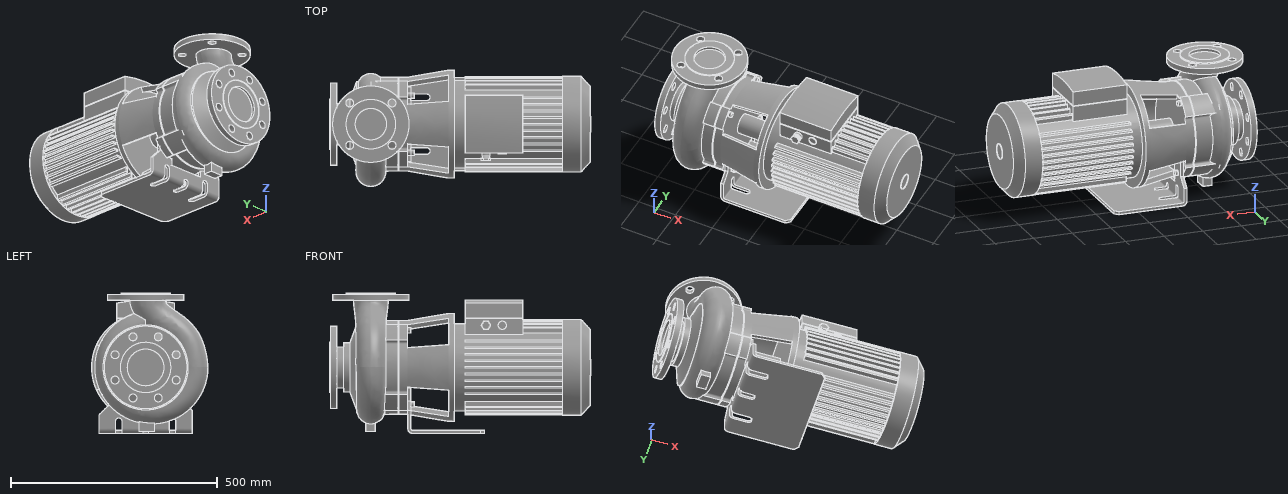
import cadquery as cq
import math


suction_face_x = -100.0
discharge_face_z = 180.0
suction_raised_height = 2.0
discharge_raised_height = 3.0

suction_flange_dia = 200.0
suction_flange_back_x = -82.0
suction_raised_dia = 122.0
suction_bore_dia = 88.9
suction_bolt_circle = 160.0
suction_hole_count = 8

discharge_flange_dia = 185.0
discharge_flange_thickness = 15.0
discharge_raised_dia = 119.9
discharge_bore_dia = 76.1
discharge_bolt_circle = 145.0
discharge_hole_count = 4

flange_hole_dia = 19.0
port_recess_depth = 8.0

suction_neck_dia = 99.9
suction_collar_dia = 119.9
suction_collar_x = -66.0
cone_start_x = -51.0
cone_end_x = -35.0
cone_end_radius = 103.0

volute_outer_radius = 137.0
volute_offset = 14.0
volute_full_tube_radius = 36.5
volute_start_tube_radius = 31.0
volute_wrap = 270
volute_step = 30
outlet_sections = [
    (-109.5, 34.0, 36.5, 14.0),
    (-95.0, 68.0, 36.5, 33.0),
    (-67.0, 96.0, 37.0, 49.0),
    (-34.0, 118.0, 38.0, 49.0),
    (-11.0, 144.0, 41.0, 24.0),
    (-4.0, 168.0, 42.5, 8.0),
]

foot_x_min = -13.0
foot_x_max = 11.0
foot_y_min = -21.0
foot_y_max = 16.0
foot_bottom_z = -155.5
foot_overlap = 10.0

joint_x = 65.5
joint_groove_width = 2.0
joint_groove_depth = 1.0
body_radius = 114.0
lug_radius = 123.0
lug_half_width = 26.9
lug_root_fillet = 5.0
lug_angles = [45, 135, 225, 315]

lantern_plate_end_x = 89.0
motor_flange_x = 188.0
motor_flange_end_x = 202.0
motor_flange_dia = 262.0
arm_thickness = 13.0
arm_half_angle = 25.0

bolt_y = 69.0
bolt_z = 89.5
bolt_head_dia = 13.0
bolt_head_height = 8.0
bolt_shank_dia = 9.0
bolt_grip_in_lantern = 18.0

plate_thickness = 8.0
bracket_half_width = 113.0
bracket_bottom_z = -160.0
bracket_end_x = 275.0
bend_outer_radius = 12.0
base_corner_chamfer = 10.0
shoulder_z_plus_y = -115.0
shoulder_z_minus_y = -104.0
tab_outer_y = 90.0
tab_inner_y = 49.0
tab_top_z = -49.0
arm_notch_z = -118.0
slot_width = 15.0
slot_y = 65.0
slot_top_z = -122.5
slot_end_x = 143.0
middle_slot_width = 13.0
middle_slot_top_z = -140.0
middle_slot_end_x = 130.0

shaft_dia = 50.0
frame_dia = 212.0
motor_dia = 232.0
fins_start_x = 228.0
fins_end_x = 464.0
end_cover_chamfer_x = 509.0
motor_back_x = 531.0
motor_back_radius = 92.0
end_boss_dia = 38.0
overall_end_x = 532.5
fin_pitch = 16.0
fin_thickness = 4.0
fin_root_radius = 80.0
fin_tip_radius = 115.5
fin_overrun = 2.0
fins_per_side = 9

box_end_x = 368.0
box_half_width = 70.0
box_side_top_z = 156.0
box_crown_z = 163.4
lid_seam_z = 118.7
lid_seam_height = 1.0
lid_seam_depth = 1.0
entry_z = 102.0
gland_x = 278.5
plug_x = 318.0
entry_dia = 20.0
plug_height = 2.0
gland_neck_dia = 16.0
gland_neck_length = 12.0
gland_collar_length = 7.0
gland_nut_width = 20.0
gland_nut_length = 6.0


def x_cylinder(x_start, x_end, diameter):
    """Solid cylinder on the shaft axis."""
    return cq.Workplane("YZ", origin=(x_start, 0, 0)).circle(diameter / 2).extrude(x_end - x_start)


def lug_roots(x_start, x_end):
    """Selector for the edges along X where the lugs rise from the round body."""
    spread = math.pi / 4 - math.asin(lug_half_width / body_radius)
    reach = body_radius * math.cos(spread) + 1
    return cq.selectors.BoxSelector((x_start - 1, -reach, -reach), (x_end + 1, reach, reach))


def joint_profile(x_start, x_end):
    """Round body with four bolt lugs on the diagonals."""
    length = x_end - x_start
    body = x_cylinder(x_start, x_end, 2 * body_radius)
    for angle in lug_angles:
        lug = (
            cq.Workplane("YZ", origin=(x_start, 0, 0))
            .transformed(rotate=(0, 0, angle))
            .rect(2 * lug_radius + 10, 2 * lug_half_width)
            .extrude(length)
            .intersect(x_cylinder(x_start, x_end, 2 * lug_radius))
        )
        body = body.union(lug)
    return body.edges("|X").edges(lug_roots(x_start, x_end)).fillet(lug_root_fillet)


def volute_section(angle):
    """Circle across the volute passage, at an angle turned from -Y towards -Z."""
    a = math.radians(angle)
    across = volute_offset * math.sin(a)
    outer_radius = volute_offset * math.cos(a) + math.sqrt(volute_outer_radius**2 - across**2)
    shrink = (volute_full_tube_radius - volute_start_tube_radius) * angle / volute_wrap
    tube_radius = volute_full_tube_radius - shrink
    centre_radius = outer_radius - tube_radius
    centre = cq.Vector(0, -centre_radius * math.cos(a), -centre_radius * math.sin(a))
    flow = cq.Vector(0, -math.sin(a), math.cos(a))
    return cq.Wire.makeCircle(tube_radius, centre, flow)


def outlet_section(y, z, radius, tilt):
    """Circle across the outlet pipe."""
    a = math.radians(tilt)
    return cq.Wire.makeCircle(radius, cq.Vector(0, y, z), cq.Vector(0, math.sin(a), math.cos(a)))


def make_volute():
    spiral = [volute_section(angle) for angle in range(volute_wrap, -1, -volute_step)]
    scroll = cq.Solid.makeLoft(spiral, False)
    outlet = cq.Solid.makeLoft([spiral[-1]] + [outlet_section(*s) for s in outlet_sections], False)
    return cq.Workplane(scroll).union(cq.Workplane(outlet))


def make_casing():
    core = (
        cq.Workplane("XZ")
        .moveTo(suction_flange_back_x - 1, 0)
        .lineTo(suction_flange_back_x - 1, suction_neck_dia / 2)
        .lineTo(suction_collar_x, suction_neck_dia / 2)
        .lineTo(suction_collar_x, suction_collar_dia / 2)
        .lineTo(cone_start_x, suction_collar_dia / 2)
        .lineTo(cone_end_x, cone_end_radius)
        .lineTo(-cone_end_x, cone_end_radius)
        .lineTo(-cone_end_x, 0)
        .close()
        .revolve(360, (0, 0, 0), (1, 0, 0))
    )
    foot = (
        cq.Workplane("XY", origin=(0, 0, foot_bottom_z))
        .moveTo((foot_x_min + foot_x_max) / 2, (foot_y_min + foot_y_max) / 2)
        .rect(foot_x_max - foot_x_min, foot_y_max - foot_y_min)
        .extrude(-foot_bottom_z - body_radius + foot_overlap)
    )
    casing = make_volute().union(core).union(joint_profile(0.0, joint_x)).union(foot)

    plate_x = suction_face_x + suction_raised_height
    suction = x_cylinder(plate_x, suction_flange_back_x, suction_flange_dia)
    suction = suction.union(x_cylinder(suction_face_x, plate_x, suction_raised_dia))
    casing = casing.union(suction)
    holes = (
        cq.Workplane("YZ", origin=(suction_face_x, 0, 0))
        .polarArray(suction_bolt_circle / 2, 180 / suction_hole_count, 360, suction_hole_count)
        .circle(flange_hole_dia / 2)
        .extrude(suction_flange_back_x - suction_face_x)
    )
    casing = casing.cut(holes)
    casing = casing.cut(x_cylinder(suction_face_x, suction_face_x + port_recess_depth, suction_bore_dia))

    top = discharge_face_z - discharge_raised_height
    discharge = (
        cq.Workplane("XY", origin=(0, 0, top))
        .circle(discharge_flange_dia / 2)
        .extrude(-discharge_flange_thickness)
        .faces(">Z")
        .workplane()
        .circle(discharge_raised_dia / 2)
        .extrude(discharge_raised_height)
    )
    casing = casing.union(discharge)
    holes = (
        cq.Workplane("XY", origin=(0, 0, top))
        .polarArray(discharge_bolt_circle / 2, 180 / discharge_hole_count, 360, discharge_hole_count)
        .circle(flange_hole_dia / 2)
        .extrude(-discharge_flange_thickness)
    )
    recess = (
        cq.Workplane("XY", origin=(0, 0, discharge_face_z))
        .circle(discharge_bore_dia / 2)
        .extrude(-port_recess_depth)
    )
    return casing.cut(holes).cut(recess)


def arm_windows():
    """Wedges that open the cone between its four arms."""
    reach = 2 * motor_flange_dia
    half = math.radians(45 - arm_half_angle)
    windows = cq.Workplane("YZ", origin=(lantern_plate_end_x, 0, 0))
    for middle in lug_angles:
        m = math.radians(middle)
        windows = windows.polyline(
            [
                (0, 0),
                (reach * math.cos(m - half), reach * math.sin(m - half)),
                (reach * math.cos(m + half), reach * math.sin(m + half)),
            ]
        ).close()
    return windows.extrude(motor_flange_x - lantern_plate_end_x)


def bolt_points(z):
    return [(y, z) for y in (-bolt_y, bolt_y)]


def make_lantern():
    plate_start = joint_x + joint_groove_width
    arms = (
        cq.Workplane("XZ")
        .polyline(
            [
                (lantern_plate_end_x, body_radius - arm_thickness),
                (lantern_plate_end_x, body_radius),
                (motor_flange_x, motor_flange_dia / 2),
                (motor_flange_x, motor_flange_dia / 2 - arm_thickness),
            ]
        )
        .close()
        .revolve(360, (0, 0, 0), (1, 0, 0))
        .cut(arm_windows())
    )
    lantern = (
        joint_profile(plate_start, lantern_plate_end_x)
        .union(x_cylinder(joint_x, plate_start, 2 * (body_radius - joint_groove_depth)))
        .union(arms)
        .union(x_cylinder(motor_flange_x, motor_flange_end_x, motor_flange_dia))
        .cut(x_cylinder(lantern_plate_end_x, motor_flange_end_x, shaft_dia))
    )
    shanks = (
        cq.Workplane("YZ", origin=(lantern_plate_end_x, 0, 0))
        .pushPoints(bolt_points(bolt_z) + bolt_points(-bolt_z))
        .circle(bolt_shank_dia / 2)
        .extrude(-bolt_grip_in_lantern)
    )
    return lantern.cut(shanks)


def make_bolt(y, z, seat_x):
    """Cap screw whose head sits on the plane X = seat_x."""
    tip_x = lantern_plate_end_x - bolt_grip_in_lantern
    shank = cq.Workplane("YZ", origin=(tip_x, y, z)).circle(bolt_shank_dia / 2).extrude(seat_x - tip_x)
    head = cq.Workplane("YZ", origin=(seat_x, y, z)).circle(bolt_head_dia / 2).extrude(bolt_head_height)
    return shank.union(head)


def bend_slot(y, width, top_z, end_x):
    """Slot that runs down the upright plate, round the bend and along the base."""
    x0 = lantern_plate_end_x
    radius = width / 2
    bar_length = end_x - radius - x0
    base = cq.Workplane("XY", origin=(x0, y, bracket_bottom_z)).rect(2 * bar_length, width).extrude(bend_outer_radius)
    base_end = (
        cq.Workplane("XY", origin=(end_x - radius, y, bracket_bottom_z)).circle(radius).extrude(bend_outer_radius)
    )
    height = top_z - radius - bracket_bottom_z
    upright = cq.Workplane("YZ", origin=(x0, y, bracket_bottom_z)).rect(width, 2 * height).extrude(bend_outer_radius)
    upright_end = cq.Workplane("YZ", origin=(x0, y, top_z - radius)).circle(radius).extrude(bend_outer_radius)
    return base.union(base_end).union(upright).union(upright_end)


def make_bracket():
    x0 = lantern_plate_end_x
    bend_inner_radius = bend_outer_radius - plate_thickness
    angle_bar = (
        cq.Workplane("XZ", origin=(0, bracket_half_width, 0))
        .polyline(
            [
                (x0, tab_top_z),
                (x0, bracket_bottom_z),
                (bracket_end_x, bracket_bottom_z),
                (bracket_end_x, bracket_bottom_z + plate_thickness),
                (x0 + plate_thickness, bracket_bottom_z + plate_thickness),
                (x0 + plate_thickness, tab_top_z),
            ]
        )
        .close()
        .extrude(2 * bracket_half_width)
    )
    angle_bar = angle_bar.edges("|Y and <X and <Z").fillet(bend_outer_radius)
    inner_corner = cq.selectors.NearestToPointSelector(
        (x0 + plate_thickness, 0, bracket_bottom_z + plate_thickness)
    )
    angle_bar = angle_bar.edges("|Y").edges(inner_corner).fillet(bend_inner_radius)
    angle_bar = angle_bar.edges("|Z and >X").chamfer(base_corner_chamfer)

    w = bracket_half_width
    rise = w - tab_outer_y
    outline = (
        cq.Workplane("YZ", origin=(x0, 0, 0))
        .polyline(
            [
                (-w, bracket_bottom_z),
                (-w, shoulder_z_minus_y),
                (-tab_outer_y, shoulder_z_minus_y + rise),
                (-tab_outer_y, tab_top_z),
                (-tab_inner_y, tab_top_z),
                (-tab_inner_y, arm_notch_z),
                (tab_inner_y, arm_notch_z),
                (tab_inner_y, tab_top_z),
                (tab_outer_y, tab_top_z),
                (tab_outer_y, shoulder_z_plus_y + rise),
                (w, shoulder_z_plus_y),
                (w, bracket_bottom_z),
            ]
        )
        .close()
        .extrude(bracket_end_x - x0)
    )
    bracket = angle_bar.intersect(outline)

    for y, width, top_z, end_x in [
        (-slot_y, slot_width, slot_top_z, slot_end_x),
        (slot_y, slot_width, slot_top_z, slot_end_x),
        (0.0, middle_slot_width, middle_slot_top_z, middle_slot_end_x),
    ]:
        bracket = bracket.cut(bend_slot(y, width, top_z, end_x))
    shanks = (
        cq.Workplane("YZ", origin=(x0, 0, 0))
        .pushPoints(bolt_points(-bolt_z))
        .circle(bolt_shank_dia / 2)
        .extrude(plate_thickness)
    )
    return bracket.cut(shanks)


def fin_blank(x_start, length, offset, turn):
    """Flat bar parallel to a radius, for a fin pointing up and then turned about the shaft."""
    height = motor_dia / 2 - fin_root_radius
    bar = cq.Workplane("XY").box(length, fin_thickness, height, centered=(False, True, False))
    return bar.translate((x_start, offset, fin_root_radius)).rotate((0, 0, 0), (1, 0, 0), turn).val()


def make_motor():
    motor = (
        cq.Workplane("XZ")
        .polyline(
            [
                (lantern_plate_end_x, 0),
                (lantern_plate_end_x, shaft_dia / 2),
                (motor_flange_end_x, shaft_dia / 2),
                (motor_flange_end_x, frame_dia / 2),
                (fins_end_x, frame_dia / 2),
                (fins_end_x, motor_dia / 2),
                (end_cover_chamfer_x, motor_dia / 2),
                (motor_back_x, motor_back_radius),
                (motor_back_x, end_boss_dia / 2),
                (overall_end_x, end_boss_dia / 2),
                (overall_end_x, 0),
            ]
        )
        .close()
        .revolve(360, (0, 0, 0), (1, 0, 0))
    )
    fin_end = fins_end_x + fin_overrun
    length = fin_end - fins_start_x
    upper_length = fin_end - box_end_x
    envelope = x_cylinder(fins_start_x, fin_end, 2 * fin_tip_radius)
    fins = cq.Workplane("YZ")
    for index in range(fins_per_side):
        offset = (index - (fins_per_side - 1) / 2) * fin_pitch
        fins = fins.add(fin_blank(fins_start_x, length, offset, 90))
        fins = fins.add(fin_blank(fins_start_x, length, offset, 180))
        fins = fins.add(fin_blank(fins_start_x, length, offset, 270))
        fins = fins.add(fin_blank(box_end_x, upper_length, offset, 0))
    for fin in fins.vals():
        motor = motor.union(envelope.intersect(cq.Workplane(fin)))
    return motor


def make_terminal_box():
    length = box_end_x - fins_start_x
    box = (
        cq.Workplane("YZ", origin=(fins_start_x, 0, 0))
        .moveTo(-box_half_width, 0)
        .lineTo(-box_half_width, box_side_top_z)
        .threePointArc((0, box_crown_z), (box_half_width, box_side_top_z))
        .lineTo(box_half_width, 0)
        .close()
        .extrude(length)
        .cut(x_cylinder(fins_start_x, box_end_x, frame_dia))
    )
    seam = (
        cq.Workplane("XY", origin=((fins_start_x + box_end_x) / 2, 0, lid_seam_z))
        .rect(length, 2 * box_half_width)
        .rect(length - 2 * lid_seam_depth, 2 * (box_half_width - lid_seam_depth))
        .extrude(lid_seam_height)
    )
    box = box.cut(seam)

    def outward(x, offset):
        return cq.Workplane("XZ", origin=(x, -box_half_width - offset, entry_z))

    plug = outward(plug_x, 0).circle(entry_dia / 2).extrude(plug_height)
    neck = outward(gland_x, 0).circle(gland_neck_dia / 2).extrude(gland_neck_length)
    collar = outward(gland_x, 0).circle(entry_dia / 2).extrude(gland_collar_length)
    nut = (
        outward(gland_x, gland_neck_length)
        .polygon(6, gland_nut_width / math.cos(math.pi / 6))
        .extrude(gland_nut_length)
    )
    return box.union(plug).union(neck).union(collar).union(nut)


casing = make_casing()
lantern = make_lantern()
bracket = make_bracket()
motor = make_motor()
terminal_box = make_terminal_box()
bolts = [make_bolt(y, z, lantern_plate_end_x) for y, z in bolt_points(bolt_z)]
bolts += [make_bolt(y, z, lantern_plate_end_x + plate_thickness) for y, z in bolt_points(-bolt_z)]

bodies = [casing, lantern, bracket, motor, terminal_box] + bolts
result = cq.Compound.makeCompound([solid for body in bodies for solid in body.solids().vals()])